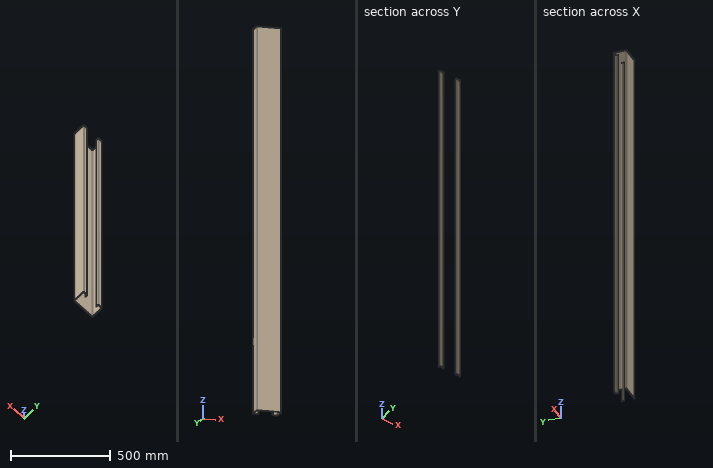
import cadquery as cq

length = 2000.0
width = 130.0
depth = 70.0
thickness = 1.5
opening_width = 75.0
lip_return = 15.0
inner_radius = 1.5
outer_radius = inner_radius + thickness

half_width = width / 2
half_depth = depth / 2

lip_outer_x = opening_width / 2
lip_inner_x = lip_outer_x + thickness
return_end_y = half_depth - lip_return
flange_inner_x = half_width - thickness
web_inner_y = thickness - half_depth
lip_inner_y = half_depth - thickness

outer_corners = [
    (half_width, -half_depth),
    (half_width, half_depth),
    (lip_outer_x, half_depth),
]
inner_corners = [
    (lip_inner_x, lip_inner_y),
    (flange_inner_x, lip_inner_y),
    (flange_inner_x, web_inner_y),
]
return_end = [
    (lip_outer_x, return_end_y),
    (lip_inner_x, return_end_y),
]
half_outline = [(0, -half_depth)] + outer_corners + return_end + inner_corners + [(0, web_inner_y)]


def round_bends(body, corners, radius):
    """Round the full-height edges standing at the given corners."""
    for x, y in corners:
        nearest_edge = cq.selectors.NearestToPointSelector((x, y, 0))
        body = body.edges("|Z").edges(nearest_edge).fillet(radius)
    return body


half_channel = (
    cq.Workplane("XY")
    .workplane(offset=-length / 2)
    .polyline(half_outline)
    .close()
    .extrude(length)
)
half_channel = round_bends(half_channel, outer_corners, outer_radius)
half_channel = round_bends(half_channel, inner_corners, inner_radius)

result = half_channel.union(half_channel.mirror("YZ")).clean()